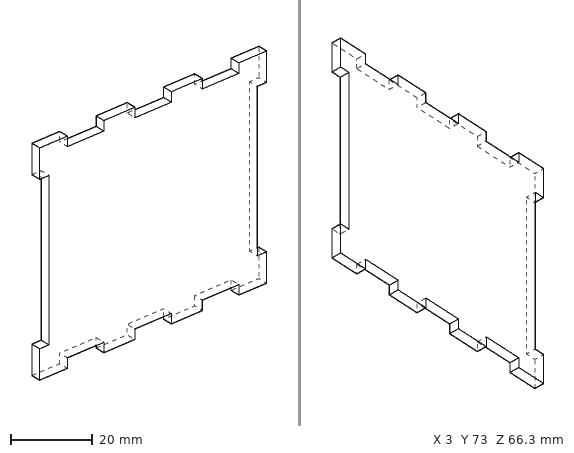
import cadquery as cq

thickness = 3.0
width = 73.0
height = 66.3

notch_depth = thickness
corner_size = 9.0
tab_width = 10.0
notches_per_edge = 3
tabs_per_edge = notches_per_edge - 1
notch_width = (width - 2 * corner_size - tabs_per_edge * tab_width) / notches_per_edge
notch_pitch = notch_width + tab_width
side_notch_height = height - 2 * corner_size


def edge_notch(y_center, z_center, y_size, z_size):
    """Cutter centred on an edge, so half of its size lies inside the panel."""
    return cq.Workplane("XY").box(2 * thickness, y_size, z_size).translate((0, y_center, z_center))


result = cq.Workplane("XY").box(thickness, width, height)

for side in (-1, 1):
    for index in range(notches_per_edge):
        y_center = (index - (notches_per_edge - 1) / 2) * notch_pitch
        result = result.cut(edge_notch(y_center, side * height / 2, notch_width, 2 * notch_depth))

    result = result.cut(edge_notch(side * width / 2, 0, 2 * notch_depth, side_notch_height))